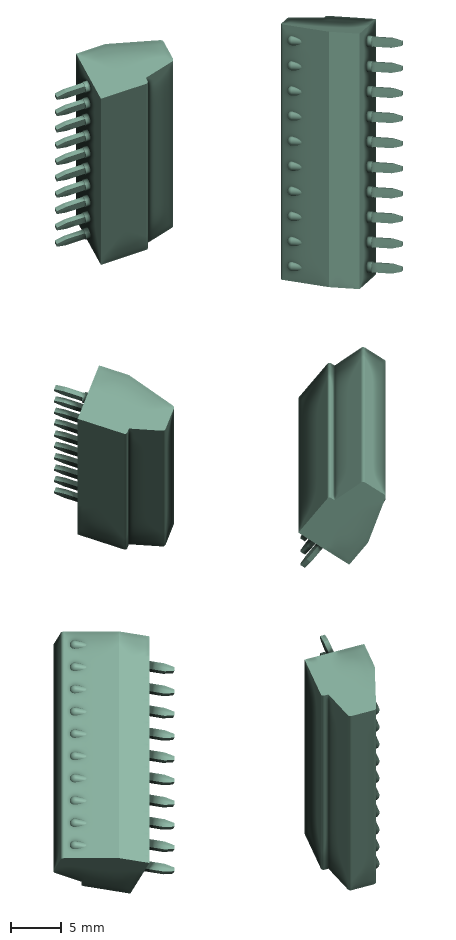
import cadquery as cq
import math

length = 25.85
width = 6.2
depth = 8.5
wire_side_wall = 3.13
wire_side_inset = 1.73
ledge_width = 0.7
ledge_drop = 3.41
back_inset = 1.65
crest_radius = 0.34
ledge_radius = 0.25

contact_count = 10
end_margin = 1.5
pitch = (length - 2 * end_margin) / (contact_count - 1)

pin_reach = 3.5
collar_diameter = 1.1
collar_height = 0.5
blade_thickness = 0.52
blade_width = 0.9
tip_width = 0.41
tip_length = 1.0

stud_radius = 0.5
stud_outer_inset = 0.98
stud_nose_drop = 0.78
stud_foot = wire_side_wall

left = -width / 2
right = width / 2


def make_housing():
    profile = [
        (left, 0),
        (right, 0),
        (right, depth - ledge_drop),
        (right - ledge_width, depth - ledge_drop),
        (right - back_inset, depth),
        (left + wire_side_inset, depth),
        (left, wire_side_wall),
    ]
    body = cq.Workplane("XY").polyline(profile).close().extrude(length)
    body = body.edges("|Z and >Y").fillet(crest_radius)
    ledge_corner = cq.selectors.NearestToPointSelector((right, depth - ledge_drop, length / 2))
    return body.edges("|Z").edges(ledge_corner).fillet(ledge_radius)


def make_pin():
    """Round collar with a flat blade whose tip narrows along Z, centred on Z = 0."""
    collar = cq.Workplane("XZ").circle(collar_diameter / 2).extrude(collar_height)
    blade = (
        cq.Workplane("YZ")
        .moveTo(0, -blade_width / 2)
        .lineTo(tip_length - pin_reach, -blade_width / 2)
        .lineTo(-pin_reach, -tip_width / 2)
        .lineTo(-pin_reach, tip_width / 2)
        .lineTo(tip_length - pin_reach, blade_width / 2)
        .lineTo(0, blade_width / 2)
        .close()
        .extrude(blade_thickness / 2, both=True)
    )
    return collar.union(blade)


def make_stud():
    """Cylinder with a hemispherical nose toward +Y, made by turning a half outline about its axis."""
    nose_tip = depth - stud_nose_drop
    nose_base = nose_tip - stud_radius
    diagonal = stud_radius * math.sqrt(0.5)
    outline = (
        cq.Workplane("XY")
        .moveTo(0, stud_foot)
        .lineTo(stud_radius, stud_foot)
        .lineTo(stud_radius, nose_base)
        .threePointArc((diagonal, nose_base + diagonal), (0, nose_tip))
        .close()
    )
    stud = outline.revolve(360, (0, 0, 0), (0, 1, 0))
    return stud.translate((left + stud_outer_inset + stud_radius, 0, 0))


result = make_housing()
for i in range(contact_count):
    height = end_margin + i * pitch
    result = result.union(make_pin().translate((0, 0, height)))
    result = result.union(make_stud().translate((0, 0, height)))